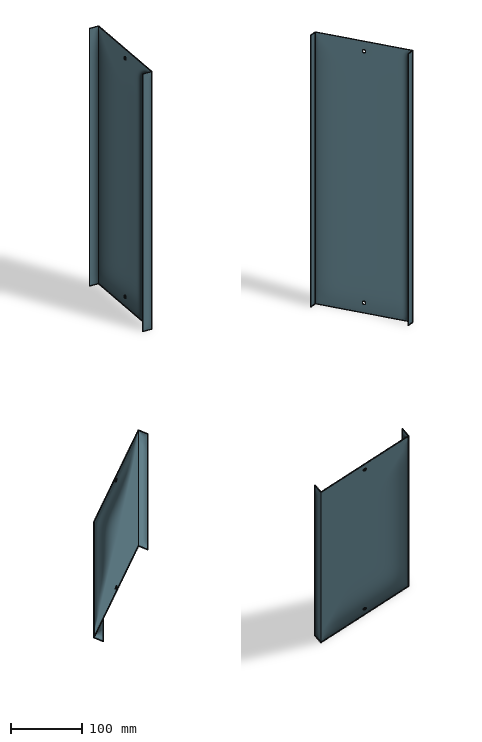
import cadquery as cq

height = 410.0
width = 153.8
depth = 14.8
thickness = 0.75
hole_diameter = 5.0
hole_end_distance = 15.0


def channel():
    outer = cq.Workplane("XY").box(width, depth, height)
    inner = (
        cq.Workplane("XY")
        .box(width - 2 * thickness, depth, height)
        .translate((0, -thickness, 0))
    )
    return outer.cut(inner)


def mounting_holes():
    hole_offset = height / 2 - hole_end_distance
    return (
        cq.Workplane("XZ")
        .pushPoints([(0, hole_offset), (0, -hole_offset)])
        .circle(hole_diameter / 2)
        .extrude(depth, both=True)
    )


result = channel().cut(mounting_holes())